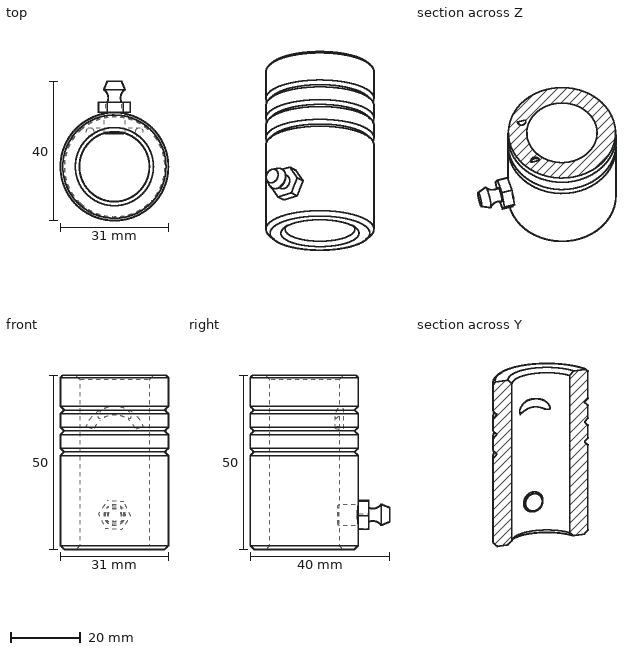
import cadquery as cq
import math

HEIGHT = 50.0
OUTER_RADIUS = 15.5
BORE_RADIUS = 10.0
TOP_CHAMFER = 0.7
BOTTOM_CHAMFER = 1.2
BORE_CHAMFER = 1.2

GROOVE_COUNT = 3
GROOVE_DEPTH = 1.05
GROOVE_PITCH = 6.0
TOP_GROOVE_Z = HEIGHT - 10.0

OIL_GROOVE_TOP_Z = 39.9
OIL_GROOVE_ARCH_RADIUS = 7.5
OIL_GROOVE_SECTION_RADIUS = 1.2
OIL_GROOVE_SWEEP = 140.0

FITTING_Z = 10.0
THREAD_END_Y = 9.45
THREAD_RADIUS = 3.0
THREAD_CHAMFER = 0.4
HEX_ACROSS_FLATS = 8.0
HEX_ACROSS_CORNERS = HEX_ACROSS_FLATS / math.cos(math.pi / 6)
HEX_THICKNESS = 3.0
HEX_TURN = 4.0
HEX_BASE_Y = OUTER_RADIUS
HEX_TOP_Y = HEX_BASE_Y + HEX_THICKNESS
NECK_Y = 19.65
NECK_RADIUS = 1.8
HEAD_RIM_Y = 22.05
HEAD_RIM_RADIUS = 3.05
TIP_Y = 24.5
TIP_RADIUS = 2.05


def make_sleeve():
    """Plain tube with chamfered ends, revolved from its wall section."""
    return (
        cq.Workplane("XZ")
        .moveTo(BORE_RADIUS + BORE_CHAMFER, 0)
        .lineTo(OUTER_RADIUS - BOTTOM_CHAMFER, 0)
        .lineTo(OUTER_RADIUS, BOTTOM_CHAMFER)
        .lineTo(OUTER_RADIUS, HEIGHT - TOP_CHAMFER)
        .lineTo(OUTER_RADIUS - TOP_CHAMFER, HEIGHT)
        .lineTo(BORE_RADIUS + BORE_CHAMFER, HEIGHT)
        .lineTo(BORE_RADIUS, HEIGHT - BORE_CHAMFER)
        .lineTo(BORE_RADIUS, BORE_CHAMFER)
        .close()
        .revolve(360, (0, 0, 0), (0, 1, 0))
    )


def make_groove_ring(z):
    """Cutter for one V groove with its root at height z."""
    root_radius = OUTER_RADIUS - GROOVE_DEPTH
    return (
        cq.Workplane("XZ")
        .polyline([
            (root_radius, z),
            (OUTER_RADIUS, z - GROOVE_DEPTH),
            (OUTER_RADIUS, z + GROOVE_DEPTH),
        ])
        .close()
        .revolve(360, (0, 0, 0), (0, 1, 0))
    )


def make_oil_groove():
    """Arched round bar centred on the bore wall; its ends run out into the wall."""
    arch_centre_z = OIL_GROOVE_TOP_Z - OIL_GROOVE_ARCH_RADIUS
    bar = (
        cq.Workplane("YZ")
        .center(BORE_RADIUS, OIL_GROOVE_TOP_Z)
        .circle(OIL_GROOVE_SECTION_RADIUS)
        .revolve(OIL_GROOVE_SWEEP, (-0.5, -OIL_GROOVE_ARCH_RADIUS), (0.5, -OIL_GROOVE_ARCH_RADIUS))
    )
    arch_centre = (0, 0, arch_centre_z)
    middle = bar.val().Center()
    lean = math.degrees(math.atan2(middle.x, middle.z - arch_centre_z))
    return bar.rotate(arch_centre, (0, 1, arch_centre_z), -lean)


def make_thread_shank():
    """Fitting shank from its chamfered inner end to the underside of the hexagon."""
    end_radius = THREAD_RADIUS - THREAD_CHAMFER
    return (
        cq.Workplane("XY")
        .polyline([
            (0, THREAD_END_Y),
            (end_radius, THREAD_END_Y),
            (THREAD_RADIUS, THREAD_END_Y + THREAD_CHAMFER),
            (THREAD_RADIUS, HEX_BASE_Y),
            (0, HEX_BASE_Y),
        ])
        .close()
        .revolve(360, (0, 0, 0), (0, 1, 0))
        .translate((0, 0, FITTING_Z))
    )


def make_hexagon():
    """Spanner hexagon resting against the bushing."""
    return (
        cq.Workplane("XZ", origin=(0, HEX_BASE_Y, FITTING_Z))
        .polygon(6, HEX_ACROSS_CORNERS)
        .extrude(-HEX_THICKNESS)
        .rotate((0, 0, FITTING_Z), (0, 1, FITTING_Z), HEX_TURN)
    )


def make_nipple():
    """Waisted neck and conical head; one arc, narrowest at NECK_Y, shapes the waist."""
    rise = HEAD_RIM_Y - NECK_Y
    flare = HEAD_RIM_RADIUS - NECK_RADIUS
    waist_arc_radius = (rise ** 2 + flare ** 2) / (2 * flare)
    drop = NECK_Y - HEX_TOP_Y
    base_radius = NECK_RADIUS + waist_arc_radius - math.sqrt(waist_arc_radius ** 2 - drop ** 2)
    return (
        cq.Workplane("XY")
        .moveTo(0, HEX_TOP_Y)
        .lineTo(base_radius, HEX_TOP_Y)
        .threePointArc((NECK_RADIUS, NECK_Y), (HEAD_RIM_RADIUS, HEAD_RIM_Y))
        .lineTo(TIP_RADIUS, TIP_Y)
        .lineTo(0, TIP_Y)
        .close()
        .revolve(360, (0, 0, 0), (0, 1, 0))
        .translate((0, 0, FITTING_Z))
    )


thread_shank = make_thread_shank()
grease_fitting = thread_shank.union(make_hexagon()).union(make_nipple())

bushing = make_sleeve()
for index in range(GROOVE_COUNT):
    bushing = bushing.cut(make_groove_ring(TOP_GROOVE_Z - index * GROOVE_PITCH))
bushing = bushing.cut(make_oil_groove())
bushing = bushing.cut(thread_shank)

result = cq.Compound.makeCompound([bushing.val(), grease_fitting.val()])